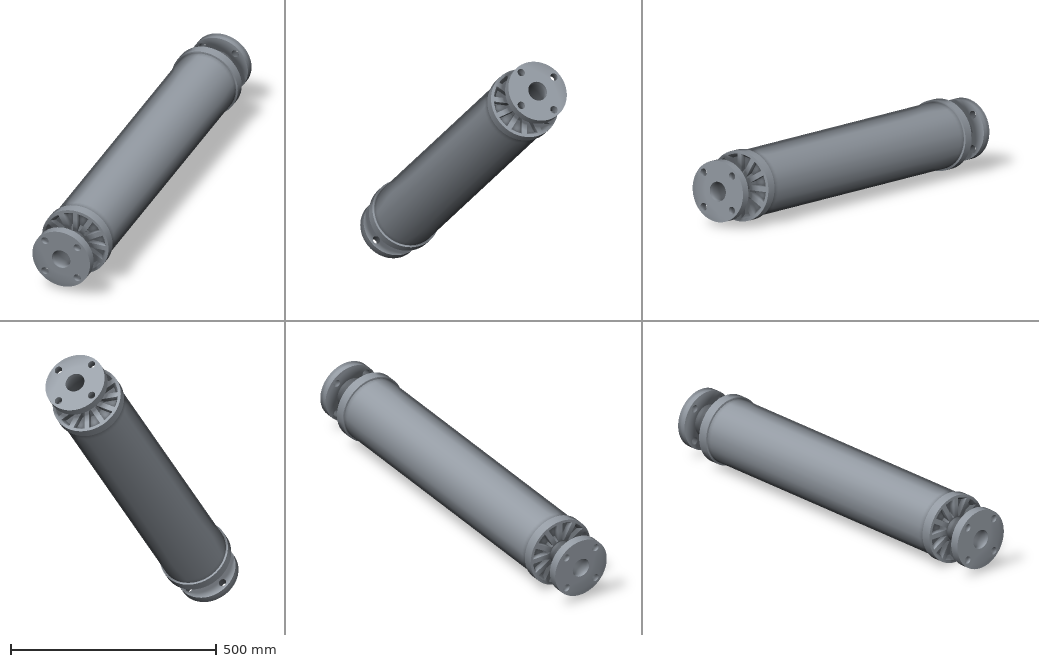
import cadquery as cq
import math

total_length = 1016.0
half_length = total_length / 2

body_diameter = 165.1

cap_diameter = 175.41
cap_thickness = 25.4
cap_face_setback = 88.9
cap_face_y = half_length - cap_face_setback
cap_back_y = cap_face_y - cap_thickness

pipe_diameter = 60.33
bore_diameter = 49.25

flange_diameter = 152.4
flange_thickness = 22.9
flange_back_y = half_length - flange_thickness
hub_diameter = 82.4
hub_length = 21.6
bolt_circle_diameter = 120.65
bolt_hole_diameter = 18.92
bolt_count = 4

lip_diameter = 48.59
lip_depth = 5.0

rib_count = 12
rib_width = 12.7
pocket_outer_diameter = 160.53
pocket_inner_diameter = 66.0
pocket_depth = 15.0
pocket_wall_draft = 30.0


def cylinder(diameter, start_y, length):
    """Solid cylinder on the Y axis, running from start_y towards +Y."""
    base = cq.Workplane("XZ", origin=(0, start_y, 0))
    return base.circle(diameter / 2).extrude(-length)


def make_pockets():
    """Annular recess in the +Y cap face, split into pockets by the radial ribs."""
    floor_y = cap_face_y - pocket_depth
    inner_radius = pocket_inner_diameter / 2
    outer_radius = pocket_outer_diameter / 2
    wall_run = pocket_depth * math.tan(math.radians(pocket_wall_draft))
    ring = (
        cq.Workplane("XY")
        .moveTo(inner_radius, cap_face_y)
        .lineTo(outer_radius, cap_face_y)
        .lineTo(outer_radius - wall_run, floor_y)
        .lineTo(inner_radius + wall_run, floor_y)
        .close()
        .revolve(360, (0, 0, 0), (0, 1, 0))
    )
    for index in range(rib_count // 2):
        bar = cq.Workplane("XY").box(cap_diameter, pocket_depth, rib_width)
        bar = bar.rotate((0, 0, 0), (0, 1, 0), index * 360 / rib_count)
        ring = ring.cut(bar.translate((0, floor_y + pocket_depth / 2, 0)))
    return ring


def make_bolt_holes():
    """Flange bolt holes, straddling the X and Z axes."""
    first_angle = 180 / bolt_count
    return (
        cq.Workplane("XZ", origin=(0, flange_back_y, 0))
        .polarArray(bolt_circle_diameter / 2, first_angle, 360, bolt_count)
        .circle(bolt_hole_diameter / 2)
        .extrude(-flange_thickness)
    )


def make_end():
    """The +Y end: ribbed cap, connecting pipe and hubbed flange, before boring."""
    cap = cylinder(cap_diameter, cap_back_y, cap_thickness).cut(make_pockets())
    pipe = cylinder(pipe_diameter, cap_face_y, cap_face_setback)
    hub = cylinder(hub_diameter, flange_back_y - hub_length, hub_length)
    flange = cylinder(flange_diameter, flange_back_y, flange_thickness).cut(make_bolt_holes())
    return cap.union(pipe).union(hub).union(flange)


def make_bore():
    """Through bore that narrows to a short lip at both flange faces."""
    main_length = total_length - 2 * lip_depth
    main = cylinder(bore_diameter, -main_length / 2, main_length)
    return main.union(cylinder(lip_diameter, -half_length, total_length))


body = cylinder(body_diameter, -cap_back_y, 2 * cap_back_y)
end = make_end()
result = body.union(end).union(end.mirror("XZ")).cut(make_bore())